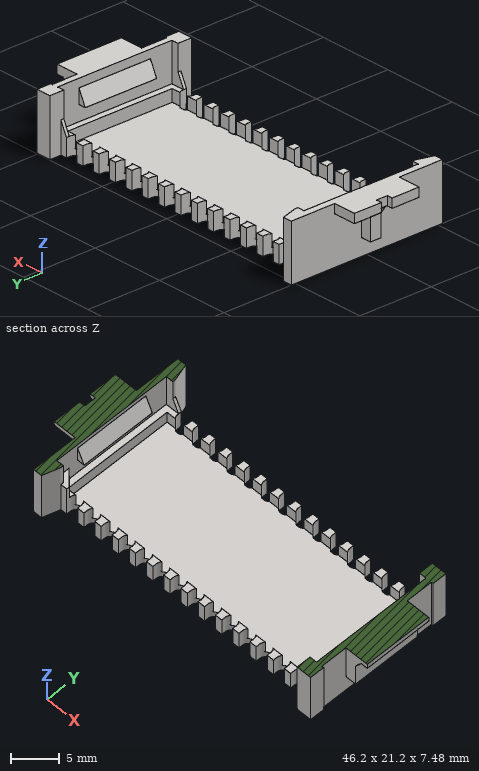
import cadquery as cq

length = 46.2
height = 7.48

tray_half_length = 19.2
tray_half_width = 8.4
floor_thickness = 0.8
rim_height = 2.4
pocket_half_length = 18.3
pocket_half_width = 7.3

notch_count = 14
notch_pitch = 2.54
notch_radius = 0.8
notch_center_y = 7.86

wall_inner_x = 19.12
post_inner_x = 18.16
recess_half_width = 8.0
left_wall_outer_x = -20.03
left_wall_half_width = 10.6
left_post_tip_x = -18.82
right_wall_outer_x = 19.95
right_post_outer_x = 20.2
right_post_half_width = 9.94

tab_end_x = length / 2
tab_half_width = 4.52
tab_bottom_z = 6.28
rib_half_width = 0.75
rib_bottom_z = 2.22
rib_face_x = 21.4
rib_chamfer_z = 5.15
rib_top_x = 22.2
tab_notch_depth = 0.75

latch_half_width = 5.0
latch_tip_x = post_inner_x
latch_bottom_z = 4.4
latch_top_z = 6.35

notch_edge_x = (notch_count - 1) / 2 * notch_pitch + notch_radius
gusset_top_z = 4.15
key_reach_y = 6.25


def box(x_start, x_end, y_start, y_end, z_start, z_end):
    """Box given by its limits along X, Y and Z."""
    size = (x_end - x_start, y_end - y_start, z_end - z_start)
    return cq.Workplane("XY").box(*size, centered=False).translate((x_start, y_start, z_start))


def side_profile(points, y_start, y_end):
    """Extrude an XZ outline from y_start to y_end."""
    plane = cq.Workplane("XZ", origin=(0, y_end, 0))
    return plane.polyline(points).close().extrude(y_end - y_start)


def make_tray():
    """Shallow rectangular tray with an open pocket."""
    tray = box(-tray_half_length, tray_half_length, -tray_half_width, tray_half_width, 0, rim_height)
    pocket = box(-pocket_half_length, pocket_half_length, -pocket_half_width, pocket_half_width,
                 floor_thickness, rim_height)
    return tray.cut(pocket)


def make_notches():
    """Round-bottomed notches, open outward, through both rims and the floor edge."""
    x_positions = [(i - (notch_count - 1) / 2) * notch_pitch for i in range(notch_count)]
    slot_depth = tray_half_width - notch_center_y
    slot_center_y = notch_center_y + slot_depth / 2
    notches = cq.Workplane("XY")
    for side in (-1, 1):
        round_centers = [(x, side * notch_center_y) for x in x_positions]
        slot_centers = [(x, side * slot_center_y) for x in x_positions]
        rounds = cq.Workplane("XY").pushPoints(round_centers).circle(notch_radius).extrude(rim_height)
        slots = cq.Workplane("XY").pushPoints(slot_centers).rect(2 * notch_radius, slot_depth)
        notches = notches.add(rounds).add(slots.extrude(rim_height))
    return notches.combine()


def make_left_wall():
    """Plate with a tapered post at each end."""
    half_outline = [
        (left_wall_outer_x, 0),
        (left_wall_outer_x, left_wall_half_width),
        (left_post_tip_x, left_wall_half_width),
        (-post_inner_x, tray_half_width),
        (-post_inner_x, recess_half_width),
        (-wall_inner_x, recess_half_width),
        (-wall_inner_x, 0),
    ]
    half_wall = cq.Workplane("XY").polyline(half_outline).close().extrude(height)
    return half_wall.union(half_wall.mirror("XZ"))


def make_right_wall():
    """Plate with a square post at each end."""
    wall = box(wall_inner_x, right_wall_outer_x, -recess_half_width, recess_half_width, 0, height)
    post = box(post_inner_x, right_post_outer_x, recess_half_width, right_post_half_width, 0, height)
    return wall.union(post).union(post.mirror("XZ"))


def make_tab():
    """Flat tab outside the right wall."""
    return box(wall_inner_x, tab_end_x, -tab_half_width, tab_half_width, tab_bottom_z, height)


def make_rib(half_width):
    """Chamfered support under the right tab."""
    outline = [
        (wall_inner_x, rib_bottom_z),
        (rib_face_x, rib_bottom_z),
        (rib_face_x, rib_chamfer_z),
        (rib_top_x, tab_bottom_z),
        (wall_inner_x, tab_bottom_z),
    ]
    return side_profile(outline, -half_width, half_width)


def make_latch():
    """Wedge on the right wall, sloping inward down to a flat underside."""
    outline = [
        (wall_inner_x, latch_top_z),
        (latch_tip_x, latch_bottom_z),
        (wall_inner_x, latch_bottom_z),
    ]
    return side_profile(outline, -latch_half_width, latch_half_width)


def make_gusset():
    """Small ramp from the rim up to the right-hand post on the +Y side."""
    outline = [
        (notch_edge_x, rim_height),
        (post_inner_x, gusset_top_z),
        (tray_half_length, gusset_top_z),
        (tray_half_length, rim_height),
    ]
    return side_profile(outline, recess_half_width, tray_half_width)


def make_corner_key():
    """Block as tall as the gussets with a diagonal inner face that fills the -X, -Y corner."""
    outline = [
        (-wall_inner_x, -key_reach_y),
        (-notch_edge_x, -recess_half_width),
        (-notch_edge_x, -tray_half_width),
        (-wall_inner_x, -tray_half_width),
    ]
    return cq.Workplane("XY").polyline(outline).close().extrude(gusset_top_z)


def make_left_tab():
    """Mirrored tab with a slit in its outer edge and a narrow rib below."""
    slit = box(-tab_end_x, -tab_end_x + tab_notch_depth, -rib_half_width, rib_half_width,
               tab_bottom_z, height)
    return make_tab().mirror("YZ").cut(slit).union(make_rib(rib_half_width).mirror("YZ"))


body = make_tray().cut(make_notches())
body = body.union(make_left_wall()).union(make_right_wall())
body = body.union(make_left_tab())
body = body.union(make_tab()).union(make_rib(tab_half_width))

latch = make_latch()
body = body.union(latch).union(latch.mirror("YZ"))

gusset = make_gusset()
body = body.union(gusset).union(gusset.mirror("XZ")).union(gusset.mirror("YZ"))
body = body.union(make_corner_key())

result = body.clean()